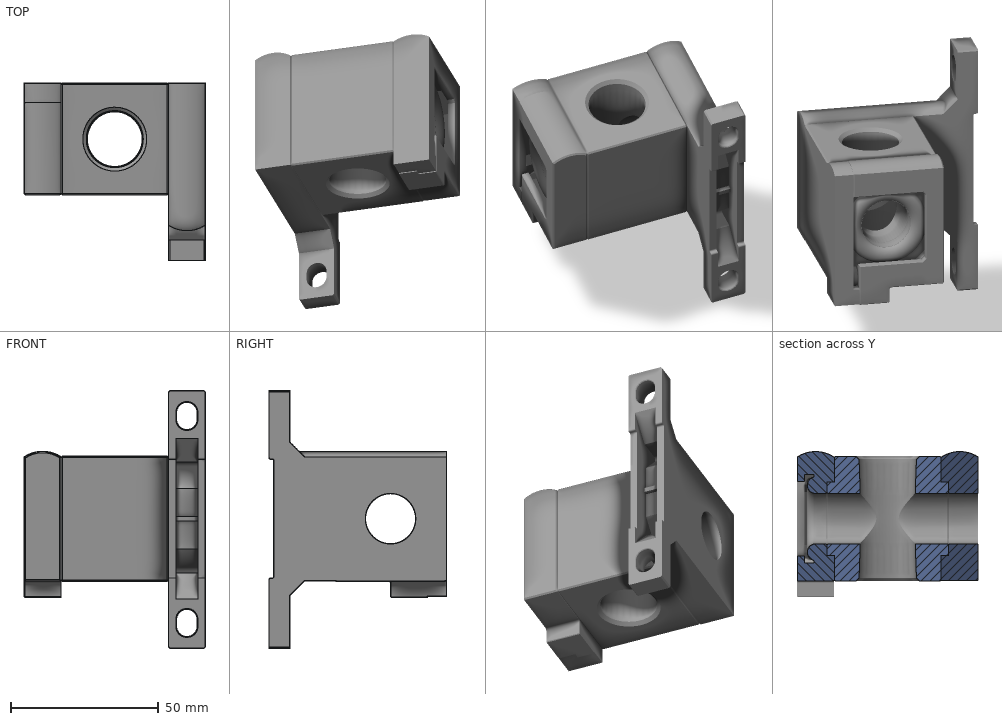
import cadquery as cq


overall_length = 61.5
overall_depth = 60.3
clamp_width = 12.5
block_length = overall_length - 2 * clamp_width
clamp_center_x = -(block_length + clamp_width) / 2
bracket_center_x = -clamp_center_x
rear_y = 19.0
pipe_bore = 17.0
slot_width = 7.5
crown_base_z = 21.0
crown_height = 1.9
edge_break = 0.5

block_depth = 2 * rear_y
block_height = 42.6
thread_bore = 18.63
taper_length = 12.0
thread_taper = 1 / 16
thread_mouth = thread_bore + taper_length * thread_taper
countersink = 21.7
bore_chamfer = 0.4

body_front_y = -rear_y
body_bottom_z = -21.2
body_rear_y = 12.5
hook_rear_y = 10.4
hook_front_y = 0.0
hook_bottom_z = -26.7
hook_fillet = 0.7
retainer_bottom_z = -26.4
retainer_crown_drop = 0.3
retainer_step_z = -20.9
screw_diameter = 7.2
screw_z = -18.6
window_half = 12.6
window_corner = 1.0
lip_thickness = (clamp_width - slot_width) / 2
chamber_half = 15.0
chamber_corner = 6.0
chamber_floor_depth = 5.6
rim_chamfer = 0.25
seal_outer = 28.6
seal_tube_radius = (seal_outer - pipe_bore) / 4

plate_height = 87.5
plate_mid_z = -0.25
plate_front_y = rear_y - overall_depth
plate_thickness = 7.1
gusset_run = 5.0
web_bottom_z = -21.1
pad_step = 1.6
pad_inner_z = 20.2
pad_round = 0.5
bolt_spacing = 70.3
bolt_slot_width = 7.0
bolt_slot_length = 9.3
bolt_slot_chamfer = 0.25
pocket_mouth_half = 27.2
pocket_top_z = 19.2
pocket_bottom_z = -18.4
pocket_core_half = 10.2
pocket_core_depth = 9.2
pocket_fillet = 1.0
rib_height = 1.6
rib_proud = 1.5


def crowned_bar(center_x, front_y, back_y, bottom_z, height):
    """Bar along Y whose top face is an arc across the width of a clamp."""
    half = clamp_width / 2
    return (
        cq.Workplane("XZ", origin=(center_x, back_y, 0))
        .moveTo(-half, bottom_z)
        .lineTo(-half, crown_base_z)
        .threePointArc((0, crown_base_z + height), (half, crown_base_z))
        .lineTo(half, bottom_z)
        .close()
        .extrude(back_y - front_y)
    )


def box_between(x0, x1, y0, y1, z0, z1):
    return cq.Workplane("XY").box(x1 - x0, y1 - y0, z1 - z0, centered=False).translate((x0, y0, z0))


def pipe_bore_cutter():
    return cq.Workplane("YZ").circle(pipe_bore / 2).extrude(overall_length, both=True)


def thread_cutter():
    """Through bore along Z with a taper and a countersink at both ends."""
    top = block_height / 2
    sink_z = top - (countersink - thread_mouth) / 2
    taper_z = sink_z - taper_length
    half_profile = [(countersink / 2, top), (thread_mouth / 2, sink_z), (thread_bore / 2, taper_z)]
    mirrored = [(r, -z) for r, z in reversed(half_profile)]
    outline = [(0, top)] + half_profile + mirrored + [(0, -top)]
    return cq.Workplane("XZ").polyline(outline).close().revolve(360, (0, 0, 0), (0, 1, 0))


def window_prism(center_x, side):
    """Square port plug with cut corners, reaching one lip depth into a side face of a clamp."""
    face_x = center_x + side * clamp_width / 2
    return (
        cq.Workplane("YZ", origin=(face_x - side * lip_thickness / 2, 0, 0))
        .rect(2 * window_half, 2 * window_half)
        .extrude(lip_thickness / 2, both=True)
        .edges("|X")
        .chamfer(window_corner)
    )


def make_block():
    block = cq.Workplane("XY").box(block_length, block_depth, block_height).edges().chamfer(edge_break)

    block = block.union(window_prism(clamp_center_x, 1)).union(window_prism(bracket_center_x, -1))
    block = block.cut(thread_cutter()).cut(pipe_bore_cutter())
    return block.faces("<X or >X").edges("%CIRCLE").chamfer(bore_chamfer)


def seal_ring():
    """Ring of round section around the pipe bore, in the middle of the clamp."""
    mean_radius = pipe_bore / 2 + seal_tube_radius
    return (
        cq.Workplane("XY", origin=(clamp_center_x, mean_radius, 0))
        .circle(seal_tube_radius)
        .revolve(360, (0, -mean_radius, 0), (1, -mean_radius, 0))
    )


def chamber_prism(start_x, end_x):
    """Eight-sided outline of the seal chamber between two X positions."""
    return (
        cq.Workplane("YZ", origin=(start_x, 0, 0))
        .rect(2 * chamber_half, 2 * chamber_half)
        .extrude(end_x - start_x)
        .edges("|X")
        .chamfer(chamber_corner)
    )


def make_clamp():
    left_x = clamp_center_x - clamp_width / 2
    right_x = left_x + clamp_width
    lip_x = left_x + lip_thickness
    floor_x = left_x + chamber_floor_depth

    body = crowned_bar(clamp_center_x, body_front_y, body_rear_y, body_bottom_z, crown_height)
    body = body.faces("<Y").edges().chamfer(edge_break)
    hook = box_between(left_x, right_x, hook_front_y, body_rear_y, hook_bottom_z, body_bottom_z)
    body = body.union(hook)
    hook_corner = cq.selectors.NearestToPointSelector((clamp_center_x, hook_front_y, body_bottom_z))
    body = body.edges(hook_corner).fillet(hook_fillet)

    window = window_prism(clamp_center_x, -1)
    window_rear = box_between(left_x, lip_x, 0, body_rear_y, -window_half, window_half)
    hook_gap = box_between(left_x, clamp_center_x, hook_rear_y, body_rear_y, hook_bottom_z, window_half)
    hook_gap = hook_gap.cut(chamber_prism(lip_x, clamp_center_x))
    body = body.cut(window).cut(window_rear).cut(hook_gap)

    rim_top_z = crown_base_z - rim_chamfer
    rim_front_y = body_front_y + edge_break + rim_chamfer
    rim = body.faces("<X").edges().filter(
        lambda edge: edge.Center().z < rim_top_z and edge.Center().y > rim_front_y
    )
    hook_tip = body.faces("<Z").edges("<Y")
    body = body.newObject(rim.vals() + hook_tip.vals()).chamfer(rim_chamfer)

    retainer_crown = crown_height - retainer_crown_drop
    retainer = crowned_bar(clamp_center_x, body_rear_y, rear_y, retainer_bottom_z, retainer_crown)
    retainer_step = box_between(
        left_x, clamp_center_x, hook_rear_y, body_rear_y, retainer_bottom_z, retainer_step_z
    )
    clamp = body.union(retainer).union(retainer_step)

    clamp = clamp.cut(chamber_prism(lip_x, floor_x))

    clamp = clamp.cut(window_prism(clamp_center_x, 1))

    screw = (
        cq.Workplane("XZ", origin=(clamp_center_x, body_rear_y, screw_z))
        .circle(screw_diameter / 2)
        .extrude(body_rear_y - hook_rear_y)
    )
    return clamp.union(screw).union(seal_ring()).cut(pipe_bore_cutter())


def bracket_profile():
    """Side outline (Y, Z) of the web and the mounting plate, without the crown."""
    plate_top = plate_mid_z + plate_height / 2
    plate_bottom = plate_mid_z - plate_height / 2
    plate_back_y = plate_front_y + plate_thickness
    gusset_y = plate_back_y + gusset_run
    recess_y = plate_front_y + pad_step
    return [
        (rear_y, crown_base_z),
        (gusset_y, crown_base_z),
        (plate_back_y, crown_base_z + gusset_run),
        (plate_back_y, plate_top),
        (plate_front_y, plate_top),
        (plate_front_y, pad_inner_z),
        (recess_y, pad_inner_z),
        (recess_y, -pad_inner_z),
        (plate_front_y, -pad_inner_z),
        (plate_front_y, plate_bottom),
        (plate_back_y, plate_bottom),
        (plate_back_y, web_bottom_z - gusset_run),
        (gusset_y, web_bottom_z),
        (rear_y, web_bottom_z),
    ]


def bracket_pocket():
    """Front slot: splayed mouth, level walls and a wedge-sided core with a rib."""
    core_y = plate_front_y + pocket_core_depth
    outline = [
        (plate_front_y, pocket_mouth_half),
        (plate_front_y + pocket_mouth_half - pocket_top_z, pocket_top_z),
        (core_y + pocket_top_z - pocket_core_half, pocket_top_z),
        (core_y, pocket_core_half),
        (core_y, -pocket_core_half),
        (core_y - pocket_bottom_z - pocket_core_half, pocket_bottom_z),
        (plate_front_y + pocket_mouth_half + pocket_bottom_z, pocket_bottom_z),
        (plate_front_y, -pocket_mouth_half),
    ]
    left_x = bracket_center_x - slot_width / 2
    pocket = cq.Workplane("YZ", origin=(left_x, 0, 0)).polyline(outline).close().extrude(slot_width)
    for end_y, end_z in (outline[2], outline[5]):
        corner = cq.selectors.NearestToPointSelector((bracket_center_x, end_y, end_z))
        pocket = pocket.edges(corner).fillet(pocket_fillet)
    rib = box_between(
        left_x, left_x + slot_width, core_y - rib_proud, core_y, -rib_height / 2, rib_height / 2
    )
    return pocket.cut(rib)


def bolt_slot_cutter(center_z):
    """Oblong hole through the plate, chamfered at the front."""
    grow = 2 * bolt_slot_chamfer
    front = cq.Workplane("XZ", origin=(bracket_center_x, plate_front_y, center_z))
    hole = front.slot2D(bolt_slot_length, bolt_slot_width, 90).extrude(-plate_thickness)
    mouth = (
        front.slot2D(bolt_slot_length + grow, bolt_slot_width + grow, 90)
        .extrude(-bolt_slot_chamfer, taper=45)
    )
    return hole.union(mouth)


def make_bracket():
    left_x = bracket_center_x - clamp_width / 2
    side_plane = cq.Workplane("YZ", origin=(left_x, 0, 0))
    bracket = side_plane.polyline(bracket_profile()).close().extrude(clamp_width)

    for pad_y in (plate_front_y, plate_front_y + pad_step):
        for pad_z in (-pad_inner_z, pad_inner_z):
            corner = cq.selectors.NearestToPointSelector((bracket_center_x, pad_y, pad_z))
            bracket = bracket.edges(corner).fillet(pad_round)
    for end in (">Z", "<Z"):
        bracket = bracket.faces(end).edges("|Y").chamfer(edge_break)

    plate_back_y = plate_front_y + plate_thickness
    crown = crowned_bar(bracket_center_x, plate_back_y, rear_y, web_bottom_z, crown_height)
    bracket = bracket.union(crown)

    bracket = bracket.cut(bracket_pocket()).cut(window_prism(bracket_center_x, -1))
    for side in (-1, 1):
        bracket = bracket.cut(bolt_slot_cutter(plate_mid_z + side * bolt_spacing / 2))
    return bracket.cut(pipe_bore_cutter())


block = make_block()
clamp = make_clamp()
bracket = make_bracket()

result = cq.Compound.makeCompound([body.solids().val() for body in (block, clamp, bracket)])